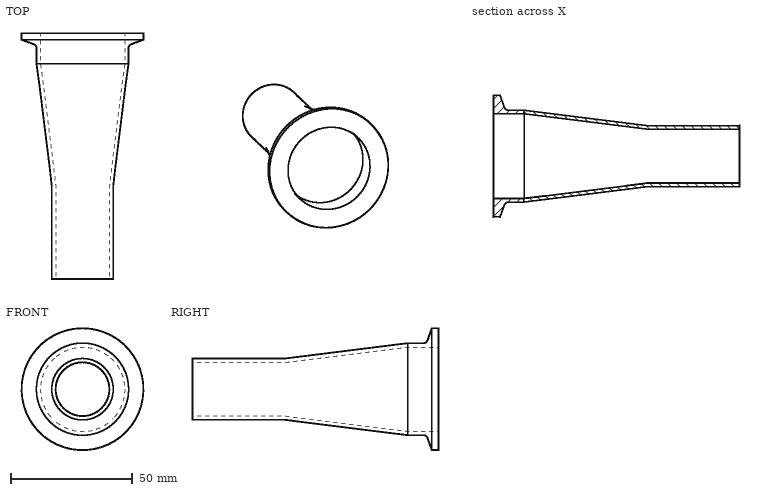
import cadquery as cq
import math


overall_length = 101.6
wall = 1.65

flange_radius = 50.4 / 2
rim_thickness = 2.8
flange_back_angle = math.radians(20)
neck_radius = 38.1 / 2
neck_fillet_radius = 1.6
ferrule_length = 12.7

taper_end = 63.5
tube_radius = 25.4 / 2

neck_bore_radius = neck_radius - wall
tube_bore_radius = tube_radius - wall


def turn(profile):
    """Revolve a closed (Y, radius) profile once around the Y axis."""
    return profile.close().revolve(360, (0, 0, 0), (1, 0, 0))


def make_ferrule():
    """Flange with a sloped back, blended into a short neck by a fillet."""
    fillet_center_radius = neck_radius + neck_fillet_radius
    slope_end_radius = fillet_center_radius - neck_fillet_radius * math.sin(flange_back_angle)
    slope_end_y = -rim_thickness - (flange_radius - slope_end_radius) * math.tan(flange_back_angle)
    fillet_end_y = slope_end_y - neck_fillet_radius * math.cos(flange_back_angle)

    mid_angle = flange_back_angle / 2 + math.pi / 4
    fillet_mid = (
        fillet_end_y + neck_fillet_radius * math.cos(mid_angle),
        fillet_center_radius - neck_fillet_radius * math.sin(mid_angle),
    )

    profile = (
        cq.Workplane("YZ")
        .moveTo(0, neck_bore_radius)
        .lineTo(0, flange_radius)
        .lineTo(-rim_thickness, flange_radius)
        .lineTo(slope_end_y, slope_end_radius)
        .threePointArc(fillet_mid, (fillet_end_y, neck_radius))
        .lineTo(-ferrule_length, neck_radius)
        .lineTo(-ferrule_length, neck_bore_radius)
    )
    return turn(profile)


def make_reducer():
    """Tapered tube that narrows from the neck size to a straight tube end."""
    profile = (
        cq.Workplane("YZ")
        .moveTo(-ferrule_length, neck_bore_radius)
        .lineTo(-ferrule_length, neck_radius)
        .lineTo(-taper_end, tube_radius)
        .lineTo(-overall_length, tube_radius)
        .lineTo(-overall_length, tube_bore_radius)
        .lineTo(-taper_end, tube_bore_radius)
    )
    return turn(profile)


ferrule = make_ferrule()
reducer = make_reducer()

result = cq.Compound.makeCompound([ferrule.val(), reducer.val()])